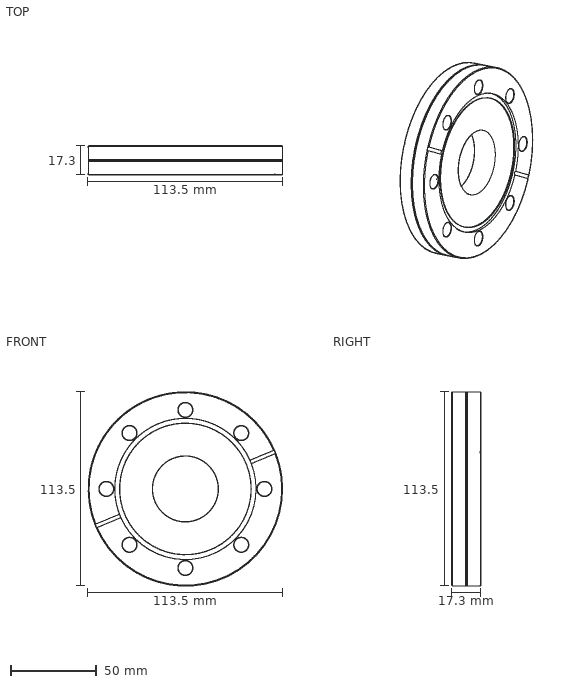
import cadquery as cq
import math

outer_diameter = 113.5
thickness = 17.3
bore_diameter = 38.4
rim_chamfer = 0.5

recess_diameter = 82.5
recess_wall_depth = 1.7
knife_diameter = 77.0
knife_slope_angle = 20.0
inner_face_diameter = 76.7
inner_face_depth = 1.2

bolt_count = 8
bolt_circle_diameter = 92.3
bolt_hole_diameter = 8.4
bolt_hole_chamfer = 0.2

rim_groove_width = 1.0
rim_groove_depth = 0.2

leak_groove_angle = 180.0 / bolt_count
leak_groove_width = 2.2
leak_groove_depth = 0.6

outer_radius = outer_diameter / 2
half_thickness = thickness / 2


def make_body():
    """Revolve the ring section, whose points are (radius, height along Y)."""
    bore_radius = bore_diameter / 2
    recess_radius = recess_diameter / 2
    knife_radius = knife_diameter / 2
    knife_height = (recess_radius - knife_radius) * math.tan(math.radians(knife_slope_angle))
    recess_bottom = half_thickness - recess_wall_depth
    front_half = [
        (bore_radius, inner_face_depth - half_thickness),
        (inner_face_diameter / 2, inner_face_depth - half_thickness),
        (knife_radius, -recess_bottom - knife_height),
        (recess_radius, -recess_bottom),
        (recess_radius, -half_thickness),
        (outer_radius - rim_chamfer, -half_thickness),
        (outer_radius, rim_chamfer - half_thickness),
        (outer_radius, -rim_groove_width / 2),
    ]
    groove_bottom = (outer_radius - rim_groove_depth, 0)
    back_half = [(radius, -height) for radius, height in reversed(front_half)]
    section = cq.Workplane("XY").polyline(front_half + [groove_bottom] + back_half).close()
    return section.revolve(360, (0, 0, 0), (0, 1, 0))


def make_bolt_holes():
    """Through holes with a small chamfer at both mouths, as revolved cutters."""
    hole_radius = bolt_hole_diameter / 2
    mouth_radius = hole_radius + bolt_hole_chamfer
    chamfer_start = half_thickness - bolt_hole_chamfer
    half_section = [
        (0, -half_thickness),
        (mouth_radius, -half_thickness),
        (hole_radius, -chamfer_start),
        (hole_radius, chamfer_start),
        (mouth_radius, half_thickness),
        (0, half_thickness),
    ]
    hole = cq.Workplane("XY").polyline(half_section).close().revolve(360, (0, 0, 0), (0, 1, 0))
    first_hole = hole.translate((bolt_circle_diameter / 2, 0, 0))
    cutters = cq.Workplane("XY")
    for index in range(bolt_count):
        cutters = cutters.add(first_hole.rotate((0, 0, 0), (0, 1, 0), index * 360 / bolt_count))
    return cutters.combine()


def make_leak_grooves():
    """Round-bottomed grooves from recess to rim, on opposite sides of both faces."""
    groove_radius = (leak_groove_width**2 / 4 + leak_groove_depth**2) / (2 * leak_groove_depth)
    axis_height = half_thickness - leak_groove_depth + groove_radius
    inner_end = (recess_diameter + knife_diameter) / 4
    cutters = cq.Workplane("XY")
    for face in (-1, 1):
        for turn in (0, 180):
            groove = (
                cq.Workplane("YZ", origin=(inner_end, face * axis_height, 0))
                .circle(groove_radius)
                .extrude(outer_radius - inner_end)
                .rotate((0, 0, 0), (0, 1, 0), turn - leak_groove_angle)
            )
            cutters = cutters.add(groove)
    return cutters.combine()


result = make_body().cut(make_bolt_holes()).cut(make_leak_grooves())